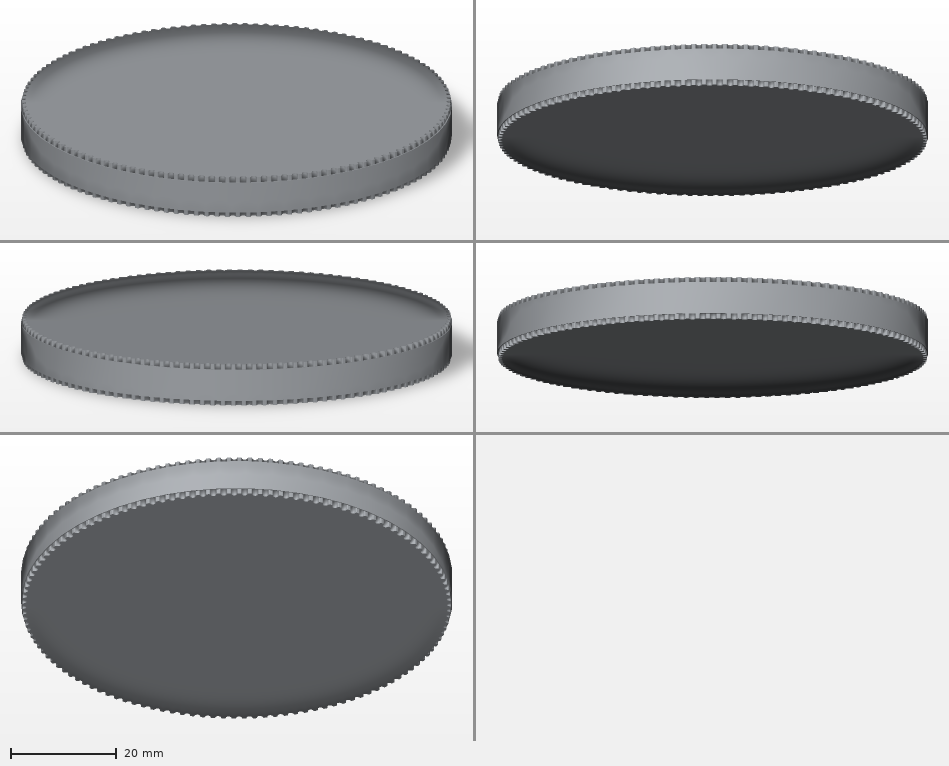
import cadquery as cq
import math

OUTER_RADIUS = 40.75
HEIGHT = 8.0
BAND_THICKNESS = 0.25
BAND_WIDTH = 6.0

TOOTH_COUNT = 128
TOOTH_PITCH_ANGLE = 2 * math.pi / TOOTH_COUNT

MOUTH_HALF_WIDTH = 0.8
LIP_HALF_WIDTH = 0.64
LIP_DEPTH = 0.06
WALL_TOP_HALF_WIDTH = 0.6
WALL_TOP_DEPTH = 0.18
WALL_BOTTOM_HALF_WIDTH = 0.5
WALL_BOTTOM_DEPTH = 0.44
GROOVE_DEPTH = 0.77

tip_radius = OUTER_RADIUS - BAND_THICKNESS
mouth_distance = math.sqrt(tip_radius**2 - MOUTH_HALF_WIDTH**2)


def polar_point(radius, angle):
    return (radius * math.cos(angle), radius * math.sin(angle))


def groove_point(groove_angle, distance, offset):
    """Point at a distance along the groove's centre line and an offset across it."""
    x = distance * math.cos(groove_angle) - offset * math.sin(groove_angle)
    y = distance * math.sin(groove_angle) + offset * math.cos(groove_angle)
    return (x, y)


def add_tooth_and_groove(outline, tooth_angle):
    """Continue the outline over one tooth tip and through the groove after it."""
    groove_angle = tooth_angle + TOOTH_PITCH_ANGLE / 2

    def at(depth, offset):
        return groove_point(groove_angle, tip_radius - depth, offset)

    mouth_start = groove_point(groove_angle, mouth_distance, -MOUTH_HALF_WIDTH)
    mouth_end = groove_point(groove_angle, mouth_distance, MOUTH_HALF_WIDTH)
    return (
        outline
        .threePointArc(polar_point(tip_radius, tooth_angle), mouth_start)
        .threePointArc(at(LIP_DEPTH, -LIP_HALF_WIDTH), at(WALL_TOP_DEPTH, -WALL_TOP_HALF_WIDTH))
        .lineTo(*at(WALL_BOTTOM_DEPTH, -WALL_BOTTOM_HALF_WIDTH))
        .threePointArc(at(GROOVE_DEPTH, 0), at(WALL_BOTTOM_DEPTH, WALL_BOTTOM_HALF_WIDTH))
        .lineTo(*at(WALL_TOP_DEPTH, WALL_TOP_HALF_WIDTH))
        .threePointArc(at(LIP_DEPTH, LIP_HALF_WIDTH), mouth_end)
    )


def make_toothed_disc():
    """Disc with a tooth centred on the X axis and grooves all around."""
    start = groove_point(-TOOTH_PITCH_ANGLE / 2, mouth_distance, MOUTH_HALF_WIDTH)
    outline = cq.Workplane("XY").workplane(offset=-HEIGHT / 2).moveTo(*start)
    for tooth in range(TOOTH_COUNT):
        outline = add_tooth_and_groove(outline, tooth * TOOTH_PITCH_ANGLE)
    return outline.close().extrude(HEIGHT)


def make_band():
    """Thin ring resting on the tooth tips, centred in the disc's height."""
    return (
        cq.Workplane("XY").workplane(offset=-BAND_WIDTH / 2)
        .circle(OUTER_RADIUS).circle(tip_radius)
        .extrude(BAND_WIDTH)
    )


result = make_toothed_disc().union(make_band())